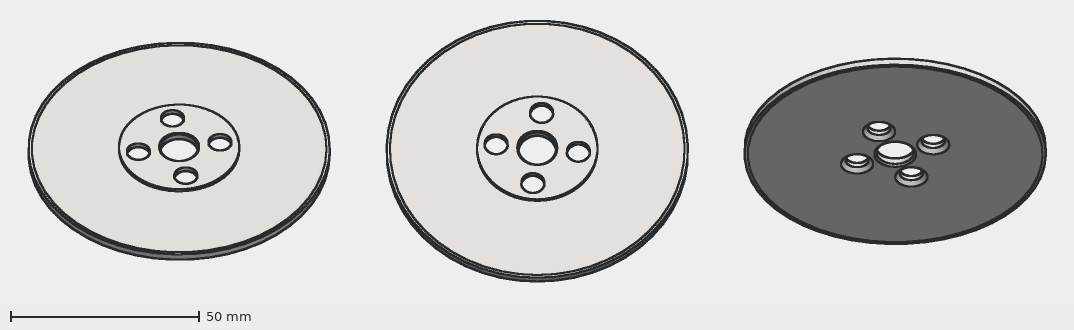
import cadquery as cq

OUTER_DIAMETER = 80.0
TOTAL_HEIGHT = 2.6

BOSS_DIAMETER = 32.0
BOSS_HEIGHT = 0.8
FACE_HEIGHT = TOTAL_HEIGHT - BOSS_HEIGHT
BORE_DIAMETER = 10.0
BORE_TOP_CHAMFER = 0.3
BORE_BOTTOM_CHAMFER = 0.6
BOLT_HOLE_DIAMETER = 6.2
BOLT_HOLE_SPACING = 15.5
COUNTERSINK_DEPTH = 1.2

SLOPE_DIAMETER = 76.2
SLOPE_RISE = 0.2

JOINT_DIAMETER = 78.2


def sloped_blank():
    """Full-size round plate whose upper face rises gently near its edge."""
    outer_radius = OUTER_DIAMETER / 2
    return (
        cq.Workplane("XZ")
        .moveTo(0, 0)
        .lineTo(outer_radius, 0)
        .lineTo(outer_radius, FACE_HEIGHT + SLOPE_RISE)
        .lineTo(SLOPE_DIAMETER / 2, FACE_HEIGHT)
        .lineTo(0, FACE_HEIGHT)
        .close()
        .revolve(360, (0, 0, 0), (0, 1, 0))
    )


def joint_cylinder():
    """Cylinder that separates the disc from the rim."""
    return cq.Workplane("XY").circle(JOINT_DIAMETER / 2).extrude(TOTAL_HEIGHT)


def hole_cutter(diameter, bottom_chamfer, top_chamfer=0.0):
    """Through hole with a 45 degree chamfer at each end, centred on the Z axis."""
    radius = diameter / 2
    outline = cq.Workplane("XZ").moveTo(0, 0).lineTo(radius + bottom_chamfer, 0)
    outline = outline.lineTo(radius, bottom_chamfer)
    if top_chamfer > 0:
        outline = outline.lineTo(radius, TOTAL_HEIGHT - top_chamfer)
    return (
        outline.lineTo(radius + top_chamfer, TOTAL_HEIGHT)
        .lineTo(0, TOTAL_HEIGHT)
        .close()
        .revolve(360, (0, 0, 0), (0, 1, 0))
    )


def make_disc():
    """Disc with a raised boss, a chamfered bore and four countersunk bolt holes."""
    boss = cq.Workplane("XY").circle(BOSS_DIAMETER / 2).extrude(TOTAL_HEIGHT)
    disc = sloped_blank().intersect(joint_cylinder()).union(boss)
    disc = disc.cut(hole_cutter(BORE_DIAMETER, BORE_BOTTOM_CHAMFER, BORE_TOP_CHAMFER))
    bolt_hole = hole_cutter(BOLT_HOLE_DIAMETER, COUNTERSINK_DEPTH)
    offset = BOLT_HOLE_SPACING / 2
    for x in (-offset, offset):
        for y in (-offset, offset):
            disc = disc.cut(bolt_hole.translate((x, y, 0)))
    return disc


def make_rim():
    """Ring around the disc that carries the slope on to the outer edge."""
    return sloped_blank().cut(joint_cylinder())


disc = make_disc()
rim = make_rim()

result = cq.Compound.makeCompound([disc.val(), rim.val()])